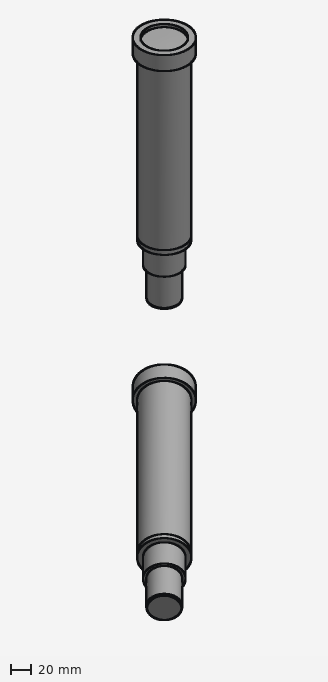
import cadquery as cq

total_height = 311.3
sleeve_bottom = 41.0
ring_bottom = 71.0
barrel_bottom = 76.5
head_height = 19.0
head_bottom = total_height - head_height

head_diameter = 62.3
head_bore = 46.7
barrel_diameter = 53.5
sleeve_diameter = 42.0
rod_diameter = 35.5
vent_diameter = 2.8

vent_height = 48.3
rod_chamfer_height = 2.0
rod_chamfer_width = 1.0
recess_depth = 3.7
crown_rise = 0.5


def cylinder(diameter, bottom, top):
    """Solid cylinder on the vertical axis between two heights."""
    return cq.Workplane("XY").workplane(offset=bottom).circle(diameter / 2).extrude(top - bottom)


def tube(outer_diameter, bore, bottom, top):
    """Cylinder with a coaxial through bore."""
    return cylinder(outer_diameter, bottom, top).cut(cylinder(bore, bottom, top))


def make_head():
    """Wide collar at the top of the barrel."""
    return tube(head_diameter, head_bore, head_bottom, total_height)


def make_plug():
    """Disc closing the head bore below its rim, with a shallow conical top."""
    radius = head_bore / 2
    edge_height = total_height - recess_depth
    return (
        cq.Workplane("XZ")
        .moveTo(0, head_bottom)
        .lineTo(radius, head_bottom)
        .lineTo(radius, edge_height)
        .lineTo(0, edge_height + crown_rise)
        .close()
        .revolve(360, (0, 0, 0), (0, 1, 0))
    )


def make_barrel():
    """Main cylinder between the end ring and the head."""
    return cylinder(barrel_diameter, barrel_bottom, head_bottom)


def make_end_ring():
    """Ring at the barrel's lower end, guiding the sleeve."""
    return tube(barrel_diameter, sleeve_diameter, ring_bottom, barrel_bottom)


def make_sleeve():
    """Sleeve around the rod, with a radial vent hole through its -X wall."""
    vent = (
        cq.Workplane("YZ")
        .center(0, vent_height)
        .circle(vent_diameter / 2)
        .extrude(-sleeve_diameter)
    )
    return tube(sleeve_diameter, rod_diameter, sleeve_bottom, barrel_bottom).cut(vent)


def make_rod():
    """Rod through the sleeve, chamfered at its free end."""
    return cylinder(rod_diameter, 0, barrel_bottom).faces("<Z").chamfer(rod_chamfer_height, rod_chamfer_width)


head = make_head()
plug = make_plug()
barrel = make_barrel()
end_ring = make_end_ring()
sleeve = make_sleeve()
rod = make_rod()

result = cq.Compound.makeCompound(
    [head.val(), plug.val(), barrel.val(), end_ring.val(), sleeve.val(), rod.val()]
)